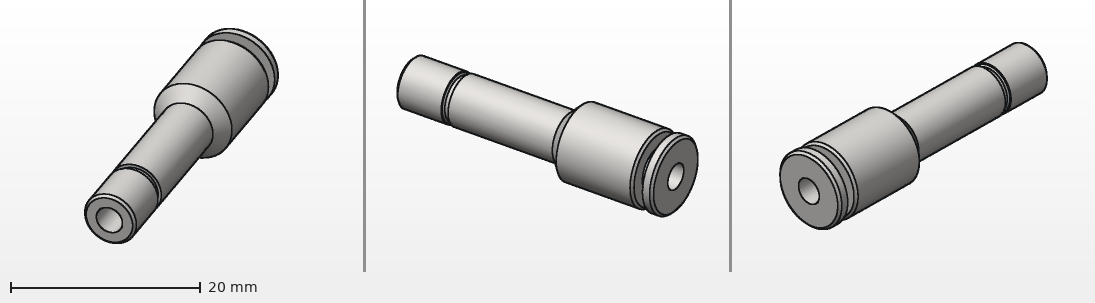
import cadquery as cq

total_length = 33.6
groove_start = 5.8
groove_width = 0.87
groove_root_chamfer = 0.2
body_start = 21.45
body_end = 31.1
collar_thickness = 1.2

body_radius = 4.5
stem_radius = 3.0
groove_radius = 2.62
neck_radius = groove_radius
bore_radius = 1.5

stem_chamfer = 0.3
body_rim_length = 0.3
body_rim_depth = 0.3
collar_chamfer = 0.3

groove_end = groove_start + groove_width
shoulder_start = body_start - (body_radius - stem_radius)
collar_start = total_length - collar_thickness

half_section = [
    (bore_radius, 0),
    (stem_radius - stem_chamfer, 0),
    (stem_radius, stem_chamfer),
    (stem_radius, groove_start),
    (groove_radius + groove_root_chamfer, groove_start),
    (groove_radius, groove_start + groove_root_chamfer),
    (groove_radius, groove_end),
    (stem_radius, groove_end),
    (stem_radius, shoulder_start),
    (body_radius, body_start),
    (body_radius, body_end - body_rim_length),
    (body_radius - body_rim_depth, body_end),
    (neck_radius, body_end),
    (neck_radius, collar_start),
    (body_radius, collar_start),
    (body_radius, total_length - collar_chamfer),
    (body_radius - collar_chamfer, total_length),
    (bore_radius, total_length),
]

result = cq.Workplane("XY").polyline(half_section).close().revolve(360, (0, 0, 0), (0, 1, 0))